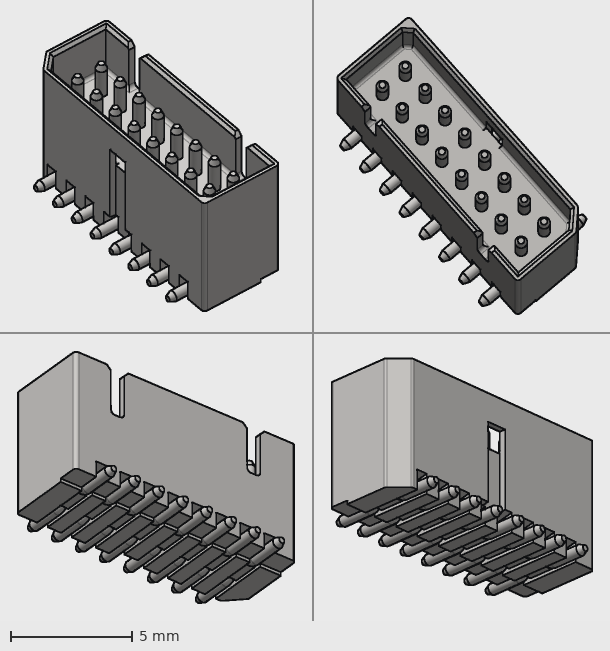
import cadquery as cq
import math

length = 11.45
width = 4.0
height = 5.95
corner_radius = 0.17
key_chamfer = 0.8

wall = 0.31
floor_z = 3.62
rim_chamfer = 0.15
floor_fillet = 0.16
cavity_corner_chamfer = 0.31

key_slot_x = 3.54
key_slot_width = 0.69
key_slot_flare = 0.22
key_slot_fillet = 0.21

channel_width = 1.0
window_top = 4.63

pin_columns = 8
pin_pitch = 1.25
pin_diameter = 0.5
pin_top = 5.25
pin_span = 5.65
pin_bend_radius = 0.4
tip_length = 0.27
tip_diameter = 0.27

tail_slot_width = 0.55
tail_slot_mouth_height = 0.93
tail_slot_inner_height = 0.71
rear_step_height = 0.17
rear_step_depth = 1.0

pin_radius = pin_diameter / 2
row_y = pin_pitch / 2
front_y = -width / 2
rear_y = width / 2
pin_xs = [(i - (pin_columns - 1) / 2) * pin_pitch for i in range(pin_columns)]


def block(x_size, y_min, y_max, z_min, z_max):
    """Box centred on X, spanning the given Y and Z ranges."""
    base = cq.Workplane("XY", origin=(0, y_min, z_min))
    return base.box(x_size, y_max - y_min, z_max - z_min, centered=(True, False, False))


def chamfered_outline(inset, left_cut, right_cut):
    """Housing rectangle moved inwards by inset, with 45 degree cuts at its two front corners."""
    x = length / 2 - inset
    y = width / 2 - inset
    return [
        (-x, y),
        (-x, -y + left_cut),
        (-x + left_cut, -y),
        (x - right_cut, -y),
        (x, -y + right_cut),
        (x, y),
    ]


def make_housing():
    outline = [
        (-length / 2, rear_y),
        (-length / 2, front_y + key_chamfer),
        (-length / 2 + key_chamfer, front_y),
        (length / 2, front_y),
        (length / 2, rear_y),
    ]
    blank = cq.Workplane("XY").polyline(outline).close().extrude(height)
    return blank.edges("|Z").fillet(corner_radius)


def make_cavity():
    cut_change = 2 - math.sqrt(2)
    left_cut = key_chamfer - wall * cut_change
    outline = chamfered_outline(wall, left_cut, cavity_corner_chamfer)
    pocket = cq.Workplane("XY").workplane(offset=floor_z).polyline(outline).close().extrude(height - floor_z)
    pocket = pocket.faces("<Z").edges().fillet(floor_fillet)

    rim_inset = wall - rim_chamfer
    rim_growth = rim_chamfer * cut_change
    rim_outline = chamfered_outline(rim_inset, left_cut + rim_growth, cavity_corner_chamfer + rim_growth)
    flare = (
        cq.Workplane("XY")
        .workplane(offset=height - rim_chamfer)
        .polyline(outline)
        .close()
        .workplane(offset=rim_chamfer)
        .polyline(rim_outline)
        .close()
        .loft(ruled=True)
    )
    return pocket.union(flare)


def make_key_slot(x):
    """Slot through the rear wall: flared at the rim, rounded down to the cavity floor."""
    half = key_slot_width / 2
    flat = half - key_slot_fillet
    arc_reach = key_slot_fillet * (1 - math.sqrt(0.5))
    arc_mid_x = half - arc_reach
    arc_mid_z = floor_z + arc_reach
    arc_top_z = floor_z + key_slot_fillet
    flare_z = height - key_slot_flare
    profile = (
        cq.Workplane("XZ", origin=(x, rear_y, 0))
        .moveTo(-flat, floor_z)
        .lineTo(flat, floor_z)
        .threePointArc((arc_mid_x, arc_mid_z), (half, arc_top_z))
        .lineTo(half, flare_z)
        .lineTo(half + key_slot_flare, height)
        .lineTo(-half - key_slot_flare, height)
        .lineTo(-half, flare_z)
        .lineTo(-half, arc_top_z)
        .threePointArc((-arc_mid_x, arc_mid_z), (-flat, floor_z))
        .close()
    )
    return profile.extrude(wall + floor_fillet)


def make_tail_slot(x):
    """Underside slot for one pair of pins; its roof drops from each mouth to the pin."""
    pin_face_y = row_y + pin_radius
    profile = [
        (front_y, 0),
        (front_y, tail_slot_mouth_height),
        (-pin_face_y, tail_slot_inner_height),
        (-row_y, tail_slot_inner_height),
        (-row_y, rear_step_height),
        (row_y, rear_step_height),
        (row_y, tail_slot_inner_height),
        (pin_face_y, tail_slot_inner_height),
        (rear_y, tail_slot_mouth_height),
        (rear_y, 0),
    ]
    slot = cq.Workplane("YZ").polyline(profile).close().extrude(tail_slot_width / 2, both=True)
    return slot.translate((x, 0, 0))


def make_pin_tip():
    """Cone along +Z with its wide end at the origin."""
    return cq.Workplane("XY").circle(pin_radius).workplane(offset=tip_length).circle(tip_diameter / 2).loft()


def make_front_pin():
    """Bent front-row pin at x = 0: contact along Z, tail along -Y."""
    contact_end_z = pin_top - tip_length
    tail_end_y = -pin_span / 2 + tip_length
    bend_y = -row_y - pin_bend_radius
    bend_z = pin_radius + pin_bend_radius
    arc_reach = pin_bend_radius * math.sqrt(0.5)
    path = (
        cq.Workplane("YZ")
        .moveTo(-row_y, contact_end_z)
        .lineTo(-row_y, bend_z)
        .threePointArc((bend_y + arc_reach, bend_z - arc_reach), (bend_y, pin_radius))
        .lineTo(tail_end_y, pin_radius)
    )
    wire = cq.Workplane("XY", origin=(0, -row_y, contact_end_z)).circle(pin_radius).sweep(path)
    contact_tip = make_pin_tip().translate((0, -row_y, contact_end_z))
    tail_tip = make_pin_tip().rotate((0, 0, 0), (1, 0, 0), 90).translate((0, tail_end_y, pin_radius))
    return wire.union(contact_tip).union(tail_tip)


housing = make_housing().cut(make_cavity())
for slot_x in (-key_slot_x, key_slot_x):
    housing = housing.cut(make_key_slot(slot_x))

channel = block(channel_width, front_y, front_y + wall, 0, window_top)
window = block(channel_width, front_y, front_y + wall + floor_fillet, floor_z, window_top)
housing = housing.cut(channel).cut(window)

for pin_x in pin_xs:
    housing = housing.cut(make_tail_slot(pin_x))
housing = housing.cut(block(length, rear_y - rear_step_depth, rear_y, 0, rear_step_height))

front_pin = make_front_pin()
rear_pin = front_pin.mirror("XZ")
result = housing
for pin_x in pin_xs:
    for pin in (front_pin, rear_pin):
        result = result.union(pin.translate((pin_x, 0, 0)))